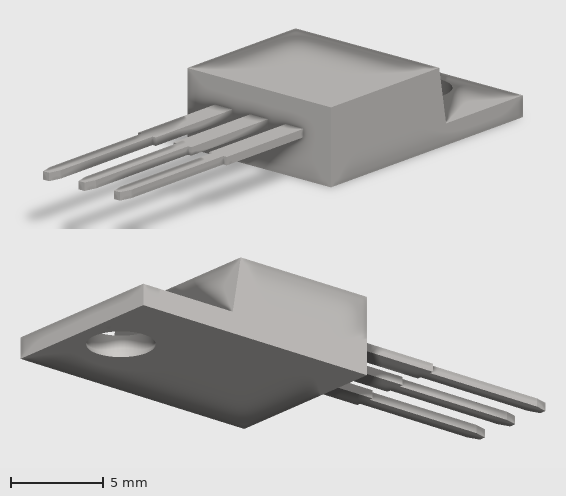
import cadquery as cq


package_width = 10.3
package_length = 15.88
case_height = 4.57
tab_length = 6.35
tab_thickness = 1.25
case_slope_run = 0.57
hole_diameter = 3.78
hole_to_tab_end = 2.77

lead_count = 3
lead_pitch = 2.54
lead_length = 14.7
lead_thickness = 0.48
lead_center_height = 2.67
shoulder_length = 6.35
shoulder_width = 1.27
pin_width = 0.8
tip_length = 0.75
tip_width = 0.42

case_length = package_length - tab_length


def make_case():
    """Molded case: upright beside the tab, then sloping forward above it."""
    side_profile = [
        (0, 0),
        (case_length, 0),
        (case_length, tab_thickness),
        (case_length - case_slope_run, case_height),
        (0, case_height),
    ]
    return (
        cq.Workplane("YZ")
        .polyline(side_profile)
        .close()
        .extrude(package_width / 2, both=True)
    )


def make_tab():
    """Flat mounting tab butted against the rear of the case, with a screw hole."""
    hole_y = package_length - hole_to_tab_end
    plate = (
        cq.Workplane("XY")
        .center(0, case_length + tab_length / 2)
        .rect(package_width, tab_length)
        .extrude(tab_thickness)
    )
    hole = (
        cq.Workplane("XY")
        .center(0, hole_y)
        .circle(hole_diameter / 2)
        .extrude(tab_thickness)
    )
    return plate.cut(hole)


def make_lead(center_x):
    """Flat lead: wide shoulder at the case, narrow pin and tapered tip."""
    right_edge = [
        (shoulder_width / 2, 0),
        (shoulder_width / 2, -shoulder_length),
        (pin_width / 2, -shoulder_length),
        (pin_width / 2, tip_length - lead_length),
        (tip_width / 2, -lead_length),
    ]
    left_edge = [(-x, y) for x, y in reversed(right_edge)]
    return (
        cq.Workplane("XY")
        .polyline(right_edge + left_edge)
        .close()
        .extrude(lead_thickness / 2, both=True)
        .translate((center_x, 0, lead_center_height))
    )


case = make_case()
tab = make_tab()

leads = []
for index in range(lead_count):
    offset_from_middle = index - (lead_count - 1) / 2
    leads.append(make_lead(offset_from_middle * lead_pitch))

result = cq.Compound.makeCompound([case.val(), tab.val(), *[lead.val() for lead in leads]])